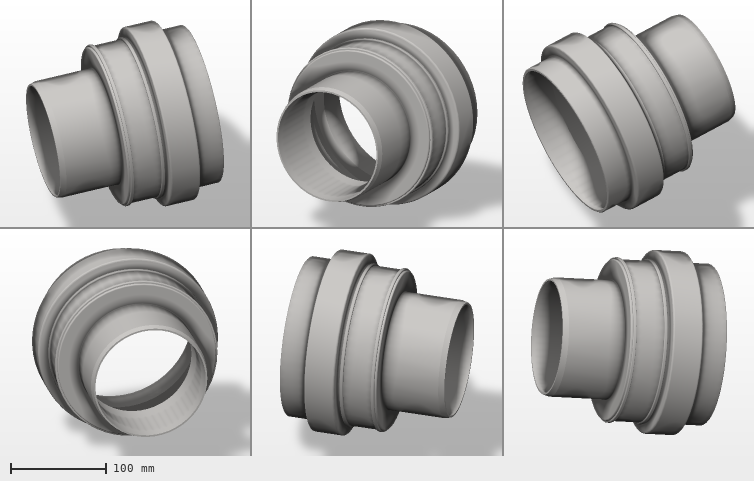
import cadquery as cq
import math

length = 172.0

spigot_radius = 125.2 / 2
spigot_bore_radius = 118.0 / 2
body_radius = 169.8 / 2
socket_bore_radius = 163.4 / 2
bead_radius = 173.8 / 2
collar_radius = 192.9 / 2
collar_groove_radius = 186.5 / 2
wall = body_radius - socket_bore_radius

tip_taper_length = 6.2
tip_taper_depth = 1.7
shoulder_y = 67.1
shoulder_round = 1.4
spigot_root_round = 0.8

bead_width = 3.7
bead_round = 1.0
front_bead_y = 71.4
bead_spacing = 33.8

collar_center_y = 126.5
collar_width = 32.0
collar_edge_round = 2.0
collar_root_round = 1.4
collar_face_angle = 6
collar_face_rise = (collar_radius - body_radius) * math.tan(math.radians(collar_face_angle))
collar_base_width = collar_width + 2 * collar_face_rise
groove_width = collar_width - 2 * wall
mouth_chamfer = 0.8


def revolve(points):
    """Turn a closed (radius, axial place) outline about the Y axis."""
    profile = cq.Workplane("XY").polyline(points).close()
    return profile.revolve(360, (0, 0, 0), (0, 1, 0))


def cylinder(radius, start, end):
    return revolve([(0, start), (radius, start), (radius, end), (0, end)])


def ring_edges(solid, radius, places):
    """Select the circular edges of one radius at the given axial places."""
    tolerance = 0.02

    def matches(edge):
        box = edge.BoundingBox()
        return abs(box.xmax - radius) < tolerance and any(abs(box.ymin - y) < tolerance for y in places)

    edges = [edge for edge in solid.edges("%CIRCLE").vals() if matches(edge)]
    return solid.newObject(edges)


def collar_ends(width):
    return (collar_center_y - width / 2, collar_center_y + width / 2)


def make_spigot():
    return revolve([
        (0, 0),
        (spigot_radius - tip_taper_depth, 0),
        (spigot_radius, tip_taper_length),
        (spigot_radius, shoulder_y),
        (0, shoulder_y),
    ])


def make_bead(center_y):
    ends = (center_y - bead_width / 2, center_y + bead_width / 2)
    bead = cylinder(bead_radius, *ends)
    return ring_edges(bead, bead_radius, ends).fillet(bead_round)


def make_collar():
    base_start, base_end = collar_ends(collar_base_width)
    rim_start, rim_end = collar_ends(collar_width)
    collar = revolve([
        (0, base_start),
        (body_radius, base_start),
        (collar_radius, rim_start),
        (collar_radius, rim_end),
        (body_radius, base_end),
        (0, base_end),
    ])
    return ring_edges(collar, collar_radius, (rim_start, rim_end)).fillet(collar_edge_round)


def make_outside():
    body = cylinder(body_radius, shoulder_y, length)
    body = ring_edges(body, body_radius, (shoulder_y,)).fillet(shoulder_round)
    body = ring_edges(body, body_radius, (length,)).chamfer(mouth_chamfer)
    outside = body.union(make_collar())
    outside = ring_edges(outside, body_radius, collar_ends(collar_base_width)).fillet(collar_root_round)
    outside = outside.union(make_spigot())
    outside = ring_edges(outside, spigot_radius, (shoulder_y,)).fillet(spigot_root_round)
    for index in range(2):
        outside = outside.union(make_bead(front_bead_y + index * bead_spacing))
    return outside


def make_inside():
    spigot_bore = cylinder(spigot_bore_radius, 0, length)
    socket_bore = cylinder(socket_bore_radius, shoulder_y + wall, length)
    seal_groove = cylinder(collar_groove_radius, *collar_ends(groove_width))
    return spigot_bore.union(socket_bore).union(seal_groove)


result = make_outside().cut(make_inside()).translate((0, -length / 2, 0))